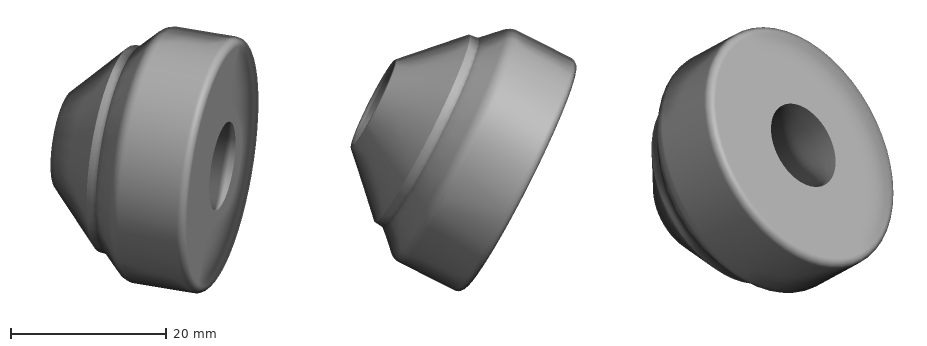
import cadquery as cq
import math

total_length = 21.2
outer_radius = 33.5 / 2
bore_radius = 11.6 / 2

tip_rounding_radius = 0.4
tip_rounding_angle = math.radians(135)
rim_start = 7.07
rim_front_radius = 13.5
rim_end = 8.35
rim_back_radius = 13.67

shoulder_angle = math.radians(45)
shoulder_blend_radius = 2.0
blend_end = 12.33
back_edge_radius = 1.0
back_edge_middle = back_edge_radius * (1 - math.cos(math.radians(45)))


def revolve_about_x(profile):
    return profile.close().revolve(360, (0, 0, 0), (1, 0, 0))


def tip_point(angle):
    """Point on the tip rounding, at an angle turned from its tangent point on the bore."""
    return (
        tip_rounding_radius * (1 - math.sin(angle)),
        bore_radius + tip_rounding_radius * (1 - math.cos(angle)),
    )


def make_nose():
    profile = (
        cq.Workplane("XY")
        .moveTo(*tip_point(0))
        .threePointArc(tip_point(tip_rounding_angle / 2), tip_point(tip_rounding_angle))
        .lineTo(rim_start, rim_front_radius)
        .lineTo(rim_end, rim_back_radius)
        .lineTo(rim_end, bore_radius)
    )
    return revolve_about_x(profile)


def blend_point(angle):
    """Point on the shoulder blend, at an angle turned back from its end on the cylinder."""
    return (
        blend_end - shoulder_blend_radius * math.sin(angle),
        outer_radius - shoulder_blend_radius * (1 - math.cos(angle)),
    )


def make_housing():
    profile = (
        cq.Workplane("XY")
        .moveTo(rim_end, bore_radius)
        .lineTo(rim_end, rim_back_radius)
        .lineTo(*blend_point(shoulder_angle))
        .threePointArc(blend_point(shoulder_angle / 2), blend_point(0))
        .lineTo(total_length - back_edge_radius, outer_radius)
        .threePointArc(
            (total_length - back_edge_middle, outer_radius - back_edge_middle),
            (total_length, outer_radius - back_edge_radius),
        )
        .lineTo(total_length, bore_radius)
    )
    return revolve_about_x(profile)


nose = make_nose()
housing = make_housing()
result = cq.Compound.makeCompound([nose.val(), housing.val()])